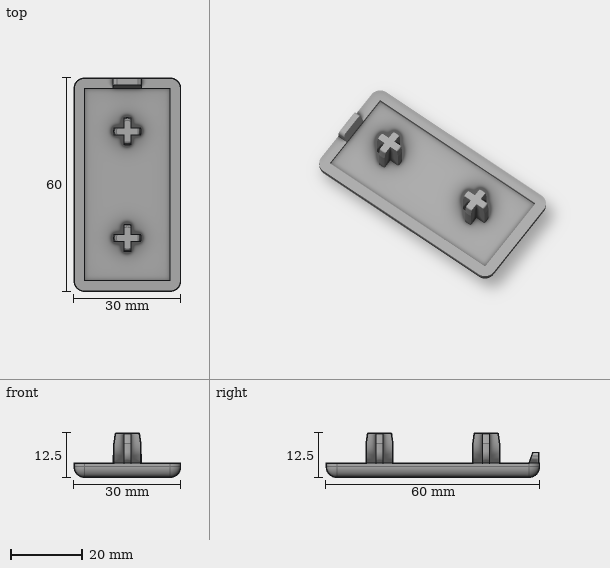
import cadquery as cq

length = 60.0
width = 30.0
base_height = 4.0
edge_radius = 3.0
rim_width = 3.0
recess_depth = 1.0
floor_z = base_height - recess_depth

total_height = 12.5
post_spacing = 30.0
post_radius = 3.85
arm_width = 2.0
taper_height = 3.0
taper_inset = 0.4
tip_round = 0.4

tab_width = 8.0
tab_height = 3.0
tab_setback = 0.2
tab_top_thickness = 1.75
tab_corner_radius = 1.0


def make_base():
    """Rounded plate with ball corners underneath and a rectangular recess on top."""
    plate = cq.Workplane("XY").box(width, length, base_height, centered=(True, True, False))
    plate = plate.edges("|Z").fillet(edge_radius)
    plate = plate.faces("<Z").edges().fillet(edge_radius)
    recess = (
        cq.Workplane("XY", origin=(0, 0, floor_z))
        .rect(width - 2 * rim_width, length - 2 * rim_width)
        .extrude(recess_depth)
    )
    return plate.cut(recess)


def make_post(y):
    """Cross trimmed by a round envelope that tapers toward its rounded tip."""
    envelope = (
        cq.Workplane("XZ")
        .lineTo(post_radius, 0)
        .lineTo(post_radius, total_height - taper_height)
        .lineTo(post_radius - taper_inset, total_height)
        .lineTo(0, total_height)
        .close()
        .revolve(360, (0, 0, 0), (0, 1, 0))
        .faces(">Z")
        .edges()
        .fillet(tip_round)
    )
    start_z = floor_z - recess_depth / 2
    plane = cq.Workplane("XY", origin=(0, 0, start_z))
    arm_x = plane.rect(2 * post_radius, arm_width).extrude(total_height - start_z)
    arm_y = plane.rect(arm_width, 2 * post_radius).extrude(total_height - start_z)
    return arm_x.union(arm_y).intersect(envelope).translate((0, y, 0))


def make_tab():
    """Upright tab with a sloped inner face and rounded upper corners."""
    outer_y = length / 2 - tab_setback
    inner_y = length / 2 - rim_width
    top_z = base_height + tab_height
    profile = [
        (outer_y, base_height),
        (outer_y, top_z),
        (outer_y - tab_top_thickness, top_z),
        (inner_y, base_height),
    ]
    tab = cq.Workplane("YZ").polyline(profile).close().extrude(tab_width / 2, both=True)
    outline = (
        cq.Workplane("XY", origin=(0, 0, base_height))
        .box(tab_width, 2 * length, tab_height, centered=(True, True, False))
        .edges("|Y and >Z")
        .fillet(tab_corner_radius)
    )
    return tab.intersect(outline)


result = make_base().union(make_tab())
for post_y in (-post_spacing / 2, post_spacing / 2):
    result = result.union(make_post(post_y))